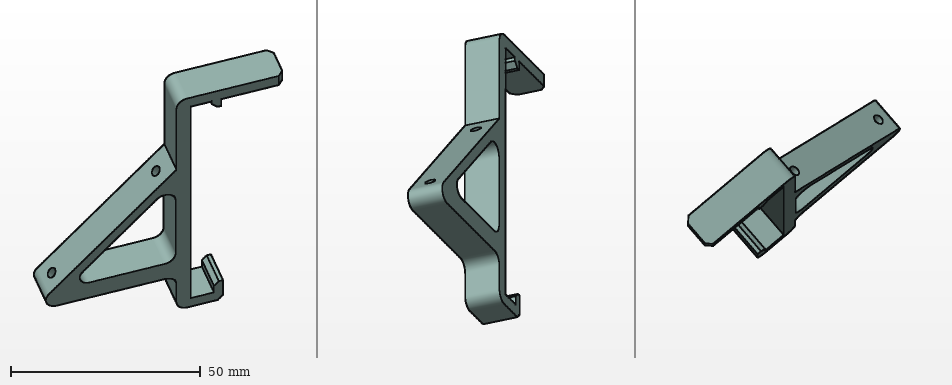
import cadquery as cq
import math

width = 10.0
height = 79.75
arm_reach = 30.0
bracket_reach = 36.4
upright_thickness = 4.0
arm_thickness = 3.5
corner_radius = 3.0
edge_chamfer = 1.5

tooth_back = 12.5
tooth_front = 9.9
tooth_drop = 2.55

hook_back = 13.0
hook_wall = 2.55
hook_floor = 3.3
hook_height = 7.1
hook_lip_chamfer = 1.35

bracket_bottom = 12.9
corner_setback = corner_radius * (1 + math.sqrt(2))
bracket_corner = bracket_reach - corner_radius + corner_setback
bracket_top = bracket_bottom + bracket_corner

window_inset = 0.2
window_bottom = 18.75
strut_thickness = 2.9
window_tip_radius = 2.7
window_top = bracket_top - window_inset - strut_thickness * math.sqrt(2)
window_corner = window_inset + window_top - window_bottom

hole_diameter = 2.8
hole_depth = 8.0
hole_heights = (20.5, 49.5)


def extrude_profile(points):
    """Extrude a closed (Y, Z) outline across the width, centred on X."""
    return cq.Workplane("YZ").polyline(points).close().extrude(width / 2, both=True)


def round_edge(body, y, z, radius):
    """Round the edge along X that passes through (y, z)."""
    return body.edges(cq.NearestToPointSelector((0, y, z))).fillet(radius)


def make_frame():
    arm_bottom = height - arm_thickness
    tooth_bottom = arm_bottom - tooth_drop
    hook_inside = hook_back - hook_wall
    frame = extrude_profile([
        (0, 0),
        (hook_back - edge_chamfer, 0),
        (hook_back, edge_chamfer),
        (hook_back, hook_height),
        (hook_inside + hook_lip_chamfer, hook_height),
        (hook_inside, hook_height - hook_lip_chamfer),
        (hook_inside, hook_floor),
        (upright_thickness, hook_floor),
        (upright_thickness, arm_bottom),
        (tooth_front, arm_bottom),
        (tooth_front, tooth_bottom + edge_chamfer),
        (tooth_front + edge_chamfer, tooth_bottom),
        (tooth_back, tooth_bottom),
        (tooth_back, arm_bottom),
        (arm_reach, arm_bottom),
        (arm_reach, height),
        (0, height),
        (0, bracket_top),
        (-bracket_corner, bracket_bottom),
        (0, bracket_bottom),
    ])
    frame = frame.faces(">Y").edges("|Z").chamfer(edge_chamfer)
    rounded_corners = [
        (0, 0),
        (0, height),
        (-bracket_corner, bracket_bottom),
        (0, bracket_bottom),
    ]
    for y, z in rounded_corners:
        frame = round_edge(frame, y, z, corner_radius)
    return frame


def make_window():
    window = extrude_profile([
        (-window_inset, window_bottom),
        (-window_inset, window_top),
        (-window_corner, window_bottom),
    ])
    window = round_edge(window, -window_corner, window_bottom, window_tip_radius)
    for z in (window_bottom, window_top):
        window = round_edge(window, -window_inset, z, corner_radius)
    return window


def make_hole(z):
    mouth = cq.Vector(0, z - bracket_top, z)
    inward = cq.Vector(0, 1, -1)
    return cq.Workplane(cq.Solid.makeCylinder(hole_diameter / 2, hole_depth, mouth, inward))


result = make_frame().cut(make_window())
for hole_height in hole_heights:
    result = result.cut(make_hole(hole_height))